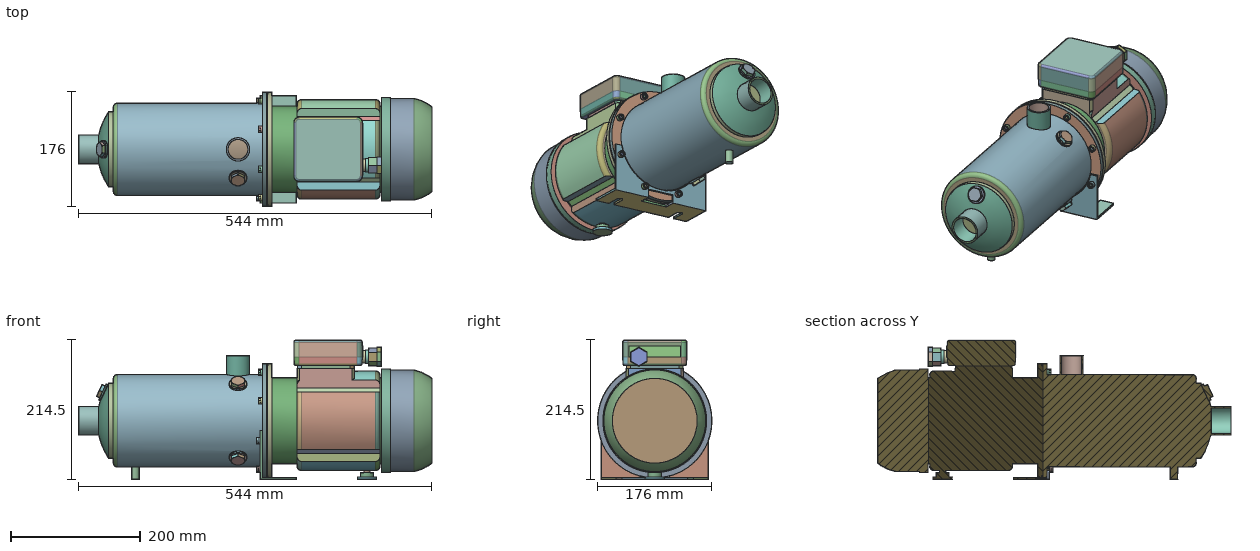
import cadquery as cq
import math


floor_z = -90.5
casing_radius = 71.5
casing_start = 53.5
shoulder_radius = 6.5
rim_diameter = 116.0
rim_start = 46.0
dome_radius = 103.5
suction_outer_diameter = 44.5
suction_bore_diameter = 39.0
discharge_x = 245.5
discharge_top = 100.0
discharge_outer_diameter = 36.0
discharge_bore_diameter = 30.5
drain_x = 87.5
drain_diameter = 12.0

flange_radius = 88.0
flange_start = 283.0
flange_thickness = 6.5
flange_gap = 1.5
gasket_radius = 85.0
bolt_circle_radius = 80.5
screw_count = 8
screw_head_diameter = 10.0
screw_head_length = 6.0
socket_diameter = 7.0
socket_depth = 3.0
bracket_thickness = 3.0
bracket_width = 165.5
bracket_top = -14.5
bracket_end = 335.0
bracket_arch_radius = 73.0
window_width = 45.0
window_height = 13.5
window_clearance = 1.5
slot_width = 10.0
slot_length = 28.0
slot_offset = 55.0

plug_flange_diameter = 27.0
plug_flange_thickness = 3.0
plug_hex_flats = 20.0
plug_hex_chamfer = 1.0
plug_height = 8.5
plug_seat_depth = 1.5
side_plug_elevation = 52
dome_plug_elevation = 25

lantern_radius = 66.5
motor_radius = 76.5
motor_start = 334.0
motor_end = 466.5
end_disc_length = 2.0
end_rounding = 7.0
notch_inner = 44.0
notch_chamfer = 6.5
pedestal_start = 336.0
pedestal_end = 425.0
pedestal_top = 80.5
pedestal_chamfer = 4.0
neck_inset = 0.5
neck_chamfer = 6.5
motor_foot_x = 444.0
foot_disc_diameter = 30.0
foot_disc_thickness = 4.0
foot_pad_diameter = 20.0
foot_pad_thickness = 6.5
foot_neck_diameter = 10.0

cover_collar_radius = 80.0
cover_radius = 78.5
cover_collar_length = 13.5
cover_nose_start = 516.5
cover_end = 544.0
cover_end_radius = 65.5
cover_nose_bulge = 2.0

box_start = 331.5
box_length = 105.5
box_width = 99.0
box_bottom = 85.0
box_split = 98.0
box_top = 124.0
box_corner_radius = 8.0
box_top_fillet = 3.0
box_bottom_fillet = 2.5
box_draft = 3
pad_thickness = 1.0
pad_width = 79.0
pad_height = 17.5
gland_y = -24.5
gland_z = 98.5
gland_neck_diameter = 19.5
gland_collar_diameter = 21.0
gland_body_corners = 28.0
gland_nut_corners = 29.5
gland_neck_length = 5.0
gland_collar_length = 5.0
gland_body_length = 12.5
gland_nut_length = 7.0

rim_radius = rim_diameter / 2
dome_centre = rim_start + math.sqrt(dome_radius**2 - rim_radius**2)
casing_end = flange_start + flange_thickness
lantern_flange_start = casing_end + flange_gap
lantern_flange_end = lantern_flange_start + flange_thickness
window_end = lantern_flange_end + window_clearance
bracket_start = flange_start - bracket_thickness


def x_cylinder(radius, start, end):
    """Cylinder on the shaft axis."""
    return cq.Workplane("YZ", origin=(start, 0, 0)).circle(radius).extrude(end - start)


def z_cylinder(diameter, x, bottom, top):
    """Upright cylinder in the middle plane."""
    return cq.Workplane("XY", origin=(x, 0, bottom)).circle(diameter / 2).extrude(top - bottom)


def revolve_about_shaft(profile):
    return profile.close().revolve(360, (0, 0, 0), (1, 0, 0))


def screw_heads(seat_x, upper):
    """The screw heads above or below the shaft, seated on the plane x = seat_x."""
    heads = []
    for i in range(screw_count):
        angle = math.radians((i + 0.5) * 360 / screw_count)
        y = bolt_circle_radius * math.cos(angle)
        z = bolt_circle_radius * math.sin(angle)
        if (z > 0) == upper:
            head = cq.Workplane("YZ", origin=(seat_x - screw_head_length, y, z))
            socket = head.polygon(6, socket_diameter).extrude(socket_depth)
            heads.append(head.circle(screw_head_diameter / 2).extrude(screw_head_length).cut(socket))
    return heads


def make_plug(surface_point, direction):
    """Plug whose flange is let into the casing at surface_point and which points along direction."""
    normal = cq.Vector(*direction)
    base = cq.Vector(*surface_point) - normal * plug_seat_depth
    plane = cq.Plane(origin=base, xDir=normal.cross(cq.Vector(1, 0, 0)), normal=normal)
    flange = cq.Workplane(plane).circle(plug_flange_diameter / 2).extrude(plug_flange_thickness)
    hex_corners = plug_hex_flats / math.cos(math.pi / 6)
    head = cq.Workplane(plane).polygon(6, hex_corners).extrude(plug_height)
    turned = cq.Workplane(plane).circle(hex_corners / 2).extrude(plug_height)
    turned = turned.faces(cq.selectors.DirectionMinMaxSelector(normal)).chamfer(plug_hex_chamfer)
    return flange.union(head.intersect(turned))


def make_side_plug(side):
    """Plug on the -Y side of the casing tube, above (side = 1) or below (side = -1) the shaft."""
    angle = math.radians(side_plug_elevation)
    direction = (0, -math.cos(angle), side * math.sin(angle))
    point = (discharge_x, direction[1] * casing_radius, direction[2] * casing_radius)
    return make_plug(point, direction)


def make_dome_plug():
    angle = math.radians(dome_plug_elevation)
    direction = (-math.cos(angle), 0, math.sin(angle))
    point = (dome_centre + direction[0] * dome_radius, 0, direction[2] * dome_radius)
    return make_plug(point, direction)


def make_casing(plugs):
    tube = x_cylinder(casing_radius, casing_start, casing_end).faces("<X").edges().fillet(shoulder_radius)
    bore_radius = suction_bore_diameter / 2
    flat_x = dome_centre - math.sqrt(dome_radius**2 - bore_radius**2)
    mid_angle = (math.asin(bore_radius / dome_radius) + math.asin(rim_radius / dome_radius)) / 2
    dome_mid = (dome_centre - dome_radius * math.cos(mid_angle), dome_radius * math.sin(mid_angle))
    cover_profile = (
        cq.Workplane("XY")
        .moveTo(flat_x, 0)
        .lineTo(flat_x, bore_radius)
        .threePointArc(dome_mid, (rim_start, rim_radius))
        .lineTo(casing_start, rim_radius)
        .lineTo(casing_start, 0)
    )
    cover = revolve_about_shaft(cover_profile)
    suction = x_cylinder(suction_outer_diameter / 2, 0, rim_start)
    suction = suction.cut(x_cylinder(bore_radius, 0, rim_start))
    discharge = z_cylinder(discharge_outer_diameter, discharge_x, 0, discharge_top)
    discharge = discharge.cut(z_cylinder(discharge_bore_diameter, discharge_x, 0, discharge_top))
    drain = z_cylinder(drain_diameter, drain_x, floor_z, 0)
    flange = x_cylinder(flange_radius, flange_start, casing_end)
    casing = tube.union(cover).union(suction).union(discharge).union(drain).union(flange)
    for head in screw_heads(flange_start, True):
        casing = casing.union(head)
    for plug in plugs:
        casing = casing.cut(plug)
    return casing


def make_bracket():
    def box(start, end, width, bottom, top):
        blank = cq.Workplane("XY", origin=((start + end) / 2, 0, bottom))
        return blank.rect(end - start, width).extrude(top - bottom)

    plate = box(bracket_start, flange_start, bracket_width, floor_z, bracket_top)
    plate = plate.cut(x_cylinder(bracket_arch_radius, bracket_start, flange_start))
    foot = box(bracket_start, bracket_end, bracket_width, floor_z, floor_z + bracket_thickness)
    bracket = plate.union(foot)
    bracket = bracket.cut(box(bracket_start, window_end, window_width, floor_z, floor_z + window_height))
    for side in (-1, 1):
        slot = cq.Workplane("XY", origin=(bracket_end, side * slot_offset, floor_z))
        bracket = bracket.cut(slot.slot2D(2 * slot_length, slot_width).extrude(bracket_thickness))
    for head in screw_heads(bracket_start, False):
        bracket = bracket.union(head)
    return bracket


def make_motor_housing():
    """Turned housing with a chamfered long notch in each diagonal direction."""
    front = motor_start + end_disc_length
    back = motor_end - end_disc_length
    shoulder = motor_radius - end_rounding
    bulge = end_rounding * (1 - math.sqrt(0.5))
    profile = (
        cq.Workplane("XY")
        .moveTo(motor_start, 0)
        .lineTo(motor_start, lantern_radius)
        .lineTo(front, lantern_radius)
        .lineTo(front, shoulder)
        .threePointArc((front + bulge, motor_radius - bulge), (front + end_rounding, motor_radius))
        .lineTo(back - end_rounding, motor_radius)
        .threePointArc((back - bulge, motor_radius - bulge), (back, shoulder))
        .lineTo(back, lantern_radius)
        .lineTo(motor_end, lantern_radius)
        .lineTo(motor_end, 0)
    )
    housing = revolve_about_shaft(profile)
    notch_profile = [
        (notch_inner + notch_chamfer, notch_inner),
        (motor_radius, notch_inner),
        (motor_radius, motor_radius),
        (notch_inner, motor_radius),
        (notch_inner, notch_inner + notch_chamfer),
    ]
    notch = cq.Workplane("YZ", origin=(motor_start, 0, 0)).polyline(notch_profile).close()
    notch = notch.extrude(motor_end - motor_start)
    for quarter in range(4):
        housing = housing.cut(notch.rotate((0, 0, 0), (1, 0, 0), 90 * quarter))
    return housing


def make_pedestal_block(inset, bottom, top, chamfer):
    """Block with chamfered upright edges, flush with the notches where inset is zero."""
    length = pedestal_end - pedestal_start - 2 * inset
    width = 2 * (notch_inner - inset)
    middle = (pedestal_start + pedestal_end) / 2
    block = cq.Workplane("XY", origin=(middle, 0, bottom)).rect(length, width).extrude(top - bottom)
    return block.edges("|Z").chamfer(chamfer)


def make_motor():
    lantern = x_cylinder(lantern_radius, lantern_flange_start, motor_start)
    gasket = x_cylinder(gasket_radius, casing_end, lantern_flange_start)
    flange = x_cylinder(flange_radius, lantern_flange_start, lantern_flange_end)
    pedestal = make_pedestal_block(0, notch_inner + notch_chamfer, pedestal_top, pedestal_chamfer)
    neck = make_pedestal_block(neck_inset, pedestal_top, box_bottom, neck_chamfer)
    disc_top = floor_z + foot_disc_thickness
    pad_top = disc_top + foot_pad_thickness
    foot = z_cylinder(foot_disc_diameter, motor_foot_x, floor_z, disc_top)
    foot = foot.union(z_cylinder(foot_pad_diameter, motor_foot_x, disc_top, pad_top))
    foot = foot.union(z_cylinder(foot_neck_diameter, motor_foot_x, pad_top, 0))
    motor = make_motor_housing().union(lantern).union(gasket).union(flange)
    return motor.union(pedestal).union(neck).union(foot)


def make_fan_cover():
    nose_mid = (
        (cover_nose_start + cover_end) / 2,
        (cover_radius + cover_end_radius) / 2 + cover_nose_bulge,
    )
    profile = (
        cq.Workplane("XY")
        .moveTo(motor_end, 0)
        .lineTo(motor_end, cover_collar_radius)
        .lineTo(motor_end + cover_collar_length, cover_collar_radius)
        .lineTo(motor_end + cover_collar_length, cover_radius)
        .lineTo(cover_nose_start, cover_radius)
        .threePointArc(nose_mid, (cover_end, cover_end_radius))
        .lineTo(cover_end, 0)
    )
    return revolve_about_shaft(profile)


def make_gland():
    """Cable gland on the +X face of the terminal box, each step outward from the last."""
    box_end = box_start + box_length
    inside = box_end - box_corner_radius
    collar_start = box_end + gland_neck_length
    body_start = collar_start + gland_collar_length
    nut_start = body_start + gland_body_length

    def section(start):
        return cq.Workplane("YZ", origin=(start, gland_y, gland_z))

    gland = section(inside).circle(gland_neck_diameter / 2).extrude(collar_start - inside)
    gland = gland.union(section(collar_start).circle(gland_collar_diameter / 2).extrude(gland_collar_length))
    for start, corners, length in (
        (body_start, gland_body_corners, gland_body_length),
        (nut_start, gland_nut_corners, gland_nut_length),
    ):
        hexagon = section(start).transformed(rotate=(0, 0, 90)).polygon(6, corners).extrude(length)
        gland = gland.union(hexagon)
    return gland


def make_terminal_box():
    def outline():
        plane = cq.Workplane("XY", origin=(box_start + box_length / 2, 0, box_split))
        sketch = cq.Sketch().rect(box_length, box_width).vertices().fillet(box_corner_radius)
        return plane.placeSketch(sketch)

    lid = outline().extrude(box_top - box_split).faces(">Z").edges().fillet(box_top_fillet)
    base = outline().extrude(box_bottom - box_split, taper=box_draft)
    base = base.faces("<Z").edges().fillet(box_bottom_fillet)
    pad = cq.Workplane("XY", origin=(box_start + box_length, 0, box_split))
    pad = pad.rect(2 * pad_thickness, pad_width).extrude(pad_height)
    return lid.union(base).union(pad).union(make_gland())


side_plugs = [make_side_plug(side) for side in (1, -1)]
dome_plug = make_dome_plug()
casing = make_casing([*side_plugs, dome_plug])
bracket = make_bracket()
motor = make_motor()
fan_cover = make_fan_cover()
terminal_box = make_terminal_box()

result = cq.Compound.makeCompound(
    [
        casing.val(),
        *[plug.val() for plug in side_plugs],
        dome_plug.val(),
        bracket.val(),
        motor.val(),
        fan_cover.val(),
        terminal_box.val(),
    ]
)